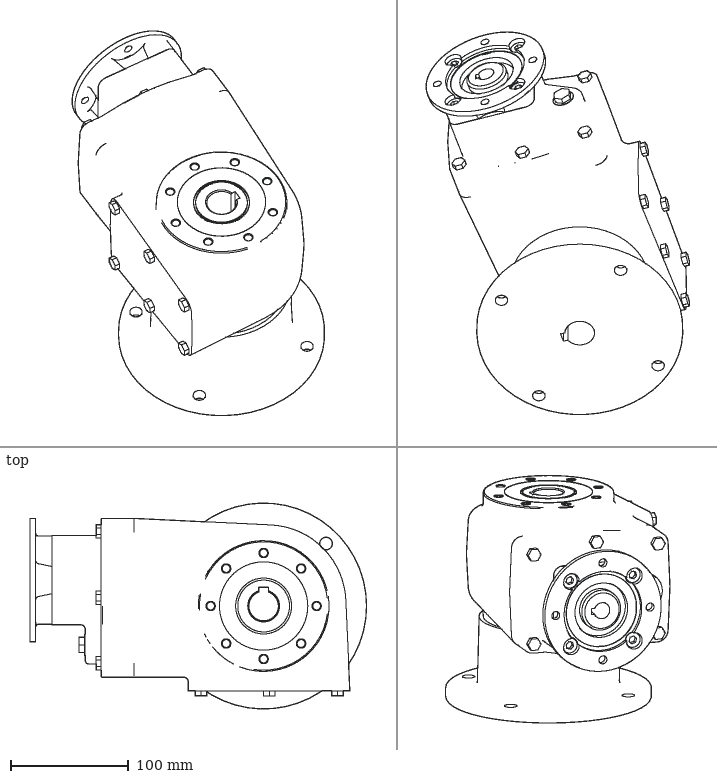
import cadquery as cq
import math


INPUT_Y = 22.0
LID_X = -138.0
TAPER_START_X = -110.0
HOUSING_HALF_HEIGHT = 48.0
HOUSING_SLOPE = 0.069
BACK_Y = 74.5
BACK_END_Y = 69.0
SIDE_Y = -60.5
COVER_Y = -72.0
COVER_LEFT_X = -64.0
END_X = 73.3
ROUND_END_X = 70.0
ROUND_CENTRE = 3.0
WALL_DRAFT = 2.5
EDGE_RADIUS = 10.0
LID_EDGE = 1.0
CONCAVE_RADIUS = 4.0
OVERRUN = 20.0

CROWN_HEIGHT = 54.3
CROWN_Y = 7.0
CROWN_HALF_WIDTH = 45.0
CROWN_ARC_HALF_WIDTH = 37.0
CROWN_SHOULDER = 1.6

BOSS_DIAMETER = 111.0
BOSS_TOP_Z = 55.0
BOSS_EDGE = 1.0
BOSS_BLEND = 6.0
SEAL_DIAMETER = 75.0
SEAL_STEP = 0.3
SLEEVE_RECESS_DIAMETER = 47.5
SLEEVE_RECESS_DEPTH = 1.5
SLEEVE_DIAMETER = 44.0
BORE_DIAMETER = 25.0
BORE_KEY_WIDTH = 8.0
BORE_KEY_REACH = 15.8
BORE_CHAMFER = 1.0
BOSS_HOLE_COUNT = 8
BOSS_HOLE_CIRCLE = 90.0
BOSS_HOLE_DIAMETER = 6.65
BOSS_HOLE_MOUTH = 8.0
BOSS_HOLE_DEPTH = 15.0
DRILL_POINT_ANGLE = 118.0

FLANGE_DIAMETER = 175.0
FLANGE_BOTTOM_Z = -126.0
FLANGE_TOP_Z = -115.5
FLANGE_EDGE = 2.0
PEDESTAL_TOP_Z = -54.3
PEDESTAL_TOP_DIAMETER = 118.0
PEDESTAL_BOTTOM_DIAMETER = 121.0
PEDESTAL_BLEND = 4.0
FLANGE_HOLE_CIRCLE = 150.0
FLANGE_HOLE_DIAMETER = 10.5

INPUT_X = -198.5
INPUT_FLANGE_DIAMETER = 105.0
INPUT_FLANGE_THICKNESS = 5.0
NECK_END_X = -179.5
NECK_SIZE = 75.0
NECK_BLEND = 2.5
BLOCK_SIZE = 76.0
BLOCK_CORNER = 9.0
BLOCK_ROOT_BLEND = 3.0
NECK_CORNER = 7.0
NECK_POCKET_AXIS = 52.0
NECK_POCKET_RADIUS = 20.4
NECK_POCKET_DRAFT = 7.7
INPUT_HOLE_CIRCLE = 85.0
INPUT_HOLE_DIAMETER = 7.0
SCREW_CIRCLE = 80.4
SCREW_BORE_DIAMETER = 14.0
SCREW_BORE_DEPTH = 12.0
SCREW_HEAD_DIAMETER = 13.0
SCREW_HEAD_HEIGHT = 8.0
SCREW_SOCKET = 7.0
SCREW_SOCKET_DEPTH = 4.0
REGISTER_DIAMETER = 70.0
REGISTER_DEPTH = 3.5
REGISTER_STEP_DIAMETER = 63.5
REGISTER_STEP_DEPTH = 4.2
SHAFT_RECESS_DIAMETER = 47.5
SHAFT_RECESS_DEPTH = 10.0
SHAFT_DIAMETER = 35.0
SHAFT_FACE_DEPTH = 2.5
SHAFT_CHAMFER = 2.0
SHAFT_BORE_DIAMETER = 14.0
SHAFT_BORE_DEPTH = 36.0
SHAFT_KEY_WIDTH = 5.0
SHAFT_KEY_REACH = 9.3

LUG_FACE_X = -151.5
PLUG_Y = -33.0
LUG_RADIUS = 16.3
LUG_FLANK_ANGLE = 31.0
LUG_EDGE = 3.0
LUG_BLEND = 4.0
PLUG_SIZE = 13.0
PLUG_TIP_X = -156.8
WASHER_DIAMETER = 18.0
WASHER_THICKNESS = 0.5

BOLT_SIZE = 10.0
BOLT_HEAD_HEIGHT = 4.2
COVER_BOLT_HEAD_HEIGHT = 4.4
COVER_BOLTS_XZ = [(-53.2, 37.0), (4.8, 33.0), (62.8, 29.0)]
LID_BOLTS_YZ = [(63.4, 39.2), (CROWN_Y, 45.4), (-48.6, 39.2)]


def flat_height(x):
    """Half height of the housing at x."""
    return HOUSING_HALF_HEIGHT - HOUSING_SLOPE * max(0.0, x - TAPER_START_X)


def plane_x(x, y=0.0):
    """Sketch plane facing -X: local x is -Y, local y is Z."""
    return cq.Workplane(cq.Plane(origin=(x, y, 0), xDir=(0, -1, 0), normal=(-1, 0, 0)))


def into_x(x, y=0.0):
    """Sketch plane facing +X: local x is Y, local y is Z."""
    return cq.Workplane(cq.Plane(origin=(x, y, 0), xDir=(0, 1, 0), normal=(1, 0, 0)))


def corner_diameter(across_flats):
    return across_flats / math.cos(math.pi / 6)


def raise_walls(outline):
    """Upper half solid on a closed XY outline, with walls that lean inwards going up."""
    return outline.close().extrude(BOSS_TOP_Z, taper=WALL_DRAFT)


def edges_in_x_plane(body, x, y_range=(-FLANGE_DIAMETER, FLANGE_DIAMETER), z_reach=FLANGE_DIAMETER):
    """Edges lying in the plane at x, within a Y range and a distance from Z = 0."""
    margin = 0.1
    low = (x - margin, y_range[0] - margin, -z_reach - margin)
    high = (x + margin, y_range[1] + margin, z_reach + margin)
    return body.edges(cq.selectors.BoxSelector(low, high, True))


def make_lid_end():
    """Upper half of the straight part of the housing, next to the input."""
    start_x = LID_X - OVERRUN
    end_x = TAPER_START_X + OVERRUN
    half = raise_walls(cq.Workplane("XY").polyline([
        (start_x, SIDE_Y),
        (end_x, SIDE_Y),
        (end_x, BACK_Y),
        (start_x, BACK_Y),
    ]))
    length = TAPER_START_X - LID_X
    slab = cq.Workplane("XY").box(length, FLANGE_DIAMETER, HOUSING_HALF_HEIGHT, centered=(False, True, False))
    half = half.intersect(slab.translate((LID_X, 0, 0)))
    return half.faces(">Z").edges("|X").fillet(EDGE_RADIUS)


def find_rims(half):
    """Edges between the sloping face and the walls, without those on the two flat ends."""
    sloping = half.faces(cq.selectors.NearestToPointSelector((0, 0, flat_height(0))))
    return [
        edge for edge in sloping.edges().vals()
        if edge.Center().x > TAPER_START_X + 1 and edge.Center().y > COVER_Y + 1
    ]


def make_gear_end():
    """Upper half of the tapering part of the housing, around the output and behind the side cover."""
    end_slope = (END_X - ROUND_END_X) / (ROUND_CENTRE - COVER_Y)
    back_slope = (BACK_Y - BACK_END_Y) / (ROUND_CENTRE - TAPER_START_X)
    corner_x = ROUND_END_X - end_slope * (BACK_END_Y - ROUND_CENTRE)
    corner_y = BACK_END_Y - back_slope * (corner_x - ROUND_CENTRE)
    far_y = COVER_Y - OVERRUN
    start_x = TAPER_START_X - OVERRUN
    outline = (
        cq.Workplane("XY")
        .moveTo(start_x, BACK_Y + back_slope * OVERRUN)
        .lineTo(corner_x, corner_y)
        .lineTo(END_X + end_slope * OVERRUN, far_y)
        .lineTo(COVER_LEFT_X, far_y)
        .lineTo(COVER_LEFT_X, SIDE_Y - CONCAVE_RADIUS)
        .radiusArc((COVER_LEFT_X - CONCAVE_RADIUS, SIDE_Y), -CONCAVE_RADIUS)
        .lineTo(start_x, SIDE_Y)
    )
    half = raise_walls(outline)
    round_corner = cq.selectors.NearestToPointSelector((corner_x, corner_y, BOSS_TOP_Z / 2))
    half = half.edges(round_corner).fillet(ROUND_END_X - ROUND_CENTRE)
    end_x = END_X + OVERRUN
    wedge = (
        cq.Workplane("XZ", origin=(0, COVER_Y, 0))
        .polyline([
            (TAPER_START_X, 0),
            (TAPER_START_X, HOUSING_HALF_HEIGHT),
            (end_x, flat_height(end_x)),
            (end_x, 0),
        ])
        .close()
        .extrude(-FLANGE_DIAMETER)
    )
    half = half.intersect(wedge)
    return half.newObject(find_rims(half)).fillet(EDGE_RADIUS)


def crown_section(x):
    flat = flat_height(x)
    shoulder = flat + CROWN_SHOULDER
    top = flat + CROWN_HEIGHT - HOUSING_HALF_HEIGHT
    return (
        into_x(x, CROWN_Y)
        .moveTo(-CROWN_HALF_WIDTH, 0)
        .lineTo(-CROWN_HALF_WIDTH, flat)
        .lineTo(-CROWN_ARC_HALF_WIDTH, shoulder)
        .threePointArc((0, top), (CROWN_ARC_HALF_WIDTH, shoulder))
        .lineTo(CROWN_HALF_WIDTH, flat)
        .lineTo(CROWN_HALF_WIDTH, 0)
        .close()
        .wire()
        .val()
    )


def make_crown():
    sections = [crown_section(x) for x in (LID_X, TAPER_START_X, 0.0)]
    return cq.Workplane(cq.Solid.makeLoft(sections, True))


def is_boss_root(edge):
    """True for the curves where the boss cylinder leaves the housing."""
    sample = edge.positionAt(0.37)
    on_cylinder = abs(math.hypot(sample.x, sample.y) - BOSS_DIAMETER / 2) < 0.05
    between_ends = 0 < edge.Center().z < BOSS_TOP_Z - BOSS_EDGE - 0.1
    return on_cylinder and between_ends and edge.geomType() != "LINE"


def make_main_body():
    """Housing with its crowned top and blended output boss, mirrored about Z = 0."""
    boss = cq.Workplane("XY").circle(BOSS_DIAMETER / 2).extrude(BOSS_TOP_Z)
    boss = boss.faces(">Z").edges().fillet(BOSS_EDGE)
    upper = make_lid_end().union(make_gear_end()).union(make_crown()).union(boss)
    root = [edge for edge in upper.edges().vals() if is_boss_root(edge)]
    upper = upper.newObject(root).fillet(BOSS_BLEND)
    body = upper.union(upper.mirror("XY"))
    return edges_in_x_plane(body, LID_X).fillet(LID_EDGE)


def make_pedestal():
    top = PEDESTAL_TOP_DIAMETER / 2
    bottom = PEDESTAL_BOTTOM_DIAMETER / 2
    rim = FLANGE_DIAMETER / 2
    pedestal = (
        cq.Workplane("XZ")
        .polyline([
            (0, FLANGE_BOTTOM_Z),
            (rim, FLANGE_BOTTOM_Z),
            (rim, FLANGE_TOP_Z),
            (bottom, FLANGE_TOP_Z),
            (top, PEDESTAL_TOP_Z),
            (0, PEDESTAL_TOP_Z),
        ])
        .close()
        .revolve(360, (0, 0, 0), (0, 1, 0))
    )
    circles = pedestal.edges("%CIRCLE")
    rims = circles.edges(cq.selectors.RadiusNthSelector(-1))
    foot = circles.edges(cq.selectors.RadiusNthSelector(-2))
    pedestal = rims.fillet(FLANGE_EDGE)
    pedestal = pedestal.newObject(foot.vals()).fillet(PEDESTAL_BLEND)
    holes = (
        cq.Workplane("XY")
        .workplane(offset=FLANGE_BOTTOM_Z)
        .polarArray(FLANGE_HOLE_CIRCLE / 2, 45, 360, 4)
        .circle(FLANGE_HOLE_DIAMETER / 2)
        .extrude(FLANGE_TOP_Z - FLANGE_BOTTOM_Z)
    )
    return pedestal.cut(holes)


def cut_output_face(body):
    face = cq.Workplane("XY").workplane(offset=BOSS_TOP_Z)
    body = body.cut(face.circle(SEAL_DIAMETER / 2).extrude(-SEAL_STEP))
    ring = face.circle(SLEEVE_RECESS_DIAMETER / 2).circle(SLEEVE_DIAMETER / 2)
    body = body.cut(ring.extrude(-SLEEVE_RECESS_DEPTH))
    holes = face.polarArray(BOSS_HOLE_CIRCLE / 2, 0, 360, BOSS_HOLE_COUNT)
    body = body.cut(holes.circle(BOSS_HOLE_DIAMETER / 2).extrude(-BOSS_HOLE_DEPTH))
    point_height = BOSS_HOLE_DIAMETER / 2 / math.tan(math.radians(DRILL_POINT_ANGLE / 2))
    tip = cq.Solid.makeCone(
        BOSS_HOLE_DIAMETER / 2, 0, point_height, cq.Vector(0, 0, -BOSS_HOLE_DEPTH), cq.Vector(0, 0, -1)
    )
    body = body.cut(holes.eachpoint(tip, combine=False))
    lead_in = (BOSS_HOLE_MOUTH - BOSS_HOLE_DIAMETER) / 2
    sinks = holes.circle(BOSS_HOLE_MOUTH / 2).extrude(-lead_in, taper=45)
    return body.cut(sinks)


def cut_output_bore(body):
    depth = BOSS_TOP_Z - FLANGE_BOTTOM_Z
    base = cq.Workplane("XY").workplane(offset=FLANGE_BOTTOM_Z)
    bore = base.circle(BORE_DIAMETER / 2).extrude(depth)
    key = base.center(0, BORE_KEY_REACH / 2).rect(BORE_KEY_WIDTH, BORE_KEY_REACH).extrude(depth)
    mouth = (
        cq.Workplane("XY")
        .workplane(offset=BOSS_TOP_Z - SEAL_STEP)
        .circle(BORE_DIAMETER / 2 + BORE_CHAMFER)
        .extrude(-BORE_CHAMFER, taper=45)
    )
    return body.cut(bore).cut(key).cut(mouth)


def make_lug():
    angle = math.radians(LUG_FLANK_ANGLE)
    tangent_y = PLUG_Y - LUG_RADIUS * math.sin(angle)
    tangent_z = LUG_RADIUS * math.cos(angle)
    root_y = INPUT_Y - BLOCK_SIZE / 2
    root_z = tangent_z + (root_y - tangent_y) * math.tan(angle)
    lug = (
        into_x(LUG_FACE_X)
        .moveTo(root_y, root_z)
        .lineTo(tangent_y, tangent_z)
        .threePointArc((PLUG_Y - LUG_RADIUS, 0), (tangent_y, -tangent_z))
        .lineTo(root_y, -root_z)
        .close()
        .extrude(LID_X - LUG_FACE_X)
    )
    return lug.faces("<X").edges("not |Z").fillet(LUG_EDGE)


def make_input_block():
    block = (
        into_x(NECK_END_X, INPUT_Y).rect(BLOCK_SIZE, BLOCK_SIZE).extrude(LID_X - NECK_END_X)
        .edges("|X").fillet(BLOCK_CORNER)
        .union(make_lug())
    )
    block_side = INPUT_Y - BLOCK_SIZE / 2
    lug_joint = edges_in_x_plane(block, LUG_FACE_X, (block_side, block_side))
    block = lug_joint.fillet(LUG_BLEND)
    neck_x = INPUT_X + INPUT_FLANGE_THICKNESS
    neck = (
        into_x(neck_x, INPUT_Y).rect(NECK_SIZE, NECK_SIZE).extrude(NECK_END_X - neck_x)
        .edges("|X").fillet(NECK_CORNER)
    )
    pockets = (
        into_x(neck_x, INPUT_Y).polarArray(NECK_POCKET_AXIS, 0, 360, 4)
        .circle(NECK_POCKET_RADIUS).extrude(NECK_END_X - neck_x, taper=NECK_POCKET_DRAFT)
    )
    flange = into_x(INPUT_X, INPUT_Y).circle(INPUT_FLANGE_DIAMETER / 2).extrude(INPUT_FLANGE_THICKNESS)
    neck = flange.union(neck.cut(pockets))
    neck = edges_in_x_plane(neck, neck_x).edges("not %CIRCLE").fillet(NECK_BLEND)
    return block.union(neck)


def join_input(body):
    """Add the input block to the lid and blend its root."""
    body = body.union(make_input_block())
    y_range = (PLUG_Y - LUG_RADIUS, INPUT_Y + BLOCK_SIZE / 2)
    return edges_in_x_plane(body, LID_X, y_range, BLOCK_SIZE / 2).fillet(BLOCK_ROOT_BLEND)


def make_plug():
    washer_x = LUG_FACE_X - WASHER_THICKNESS
    washer = plane_x(LUG_FACE_X, PLUG_Y).circle(WASHER_DIAMETER / 2).extrude(WASHER_THICKNESS)
    head = (
        plane_x(washer_x, PLUG_Y).transformed(rotate=(0, 0, 90))
        .polygon(6, corner_diameter(PLUG_SIZE)).extrude(washer_x - PLUG_TIP_X)
    )
    return washer.union(head)


def cut_input_face(body):
    face = into_x(INPUT_X, INPUT_Y)
    body = body.cut(face.circle(REGISTER_DIAMETER / 2).extrude(REGISTER_DEPTH))
    body = body.cut(face.circle(REGISTER_STEP_DIAMETER / 2).extrude(REGISTER_STEP_DEPTH))
    body = body.cut(face.circle(SHAFT_RECESS_DIAMETER / 2).extrude(SHAFT_RECESS_DEPTH))
    holes = face.polarArray(INPUT_HOLE_CIRCLE / 2, 0, 360, 4).circle(INPUT_HOLE_DIAMETER / 2)
    body = body.cut(holes.extrude(INPUT_FLANGE_THICKNESS))
    screw_bores = face.polarArray(SCREW_CIRCLE / 2, 45, 360, 4).circle(SCREW_BORE_DIAMETER / 2)
    return body.cut(screw_bores.extrude(SCREW_BORE_DEPTH))


def make_screw_heads():
    bottom_x = INPUT_X + SCREW_BORE_DEPTH
    seats = plane_x(bottom_x, INPUT_Y).polarArray(SCREW_CIRCLE / 2, 45, 360, 4)
    heads = seats.circle(SCREW_HEAD_DIAMETER / 2).extrude(SCREW_HEAD_HEIGHT)
    tops = plane_x(bottom_x - SCREW_HEAD_HEIGHT, INPUT_Y).polarArray(SCREW_CIRCLE / 2, 45, 360, 4)
    return heads.cut(tops.polygon(6, SCREW_SOCKET).extrude(-SCREW_SOCKET_DEPTH))


def make_input_shaft():
    face_x = INPUT_X + SHAFT_FACE_DEPTH
    length = SHAFT_RECESS_DEPTH - SHAFT_FACE_DEPTH
    return (
        into_x(face_x, INPUT_Y).circle(SHAFT_DIAMETER / 2).extrude(length)
        .faces("<X").chamfer(SHAFT_CHAMFER)
    )


def cut_shaft_bore(body):
    face = into_x(INPUT_X, INPUT_Y)
    bore = face.circle(SHAFT_BORE_DIAMETER / 2).extrude(SHAFT_BORE_DEPTH)
    key = face.center(SHAFT_KEY_REACH / 2, 0).rect(SHAFT_KEY_REACH, SHAFT_KEY_WIDTH).extrude(SHAFT_BORE_DEPTH)
    return body.cut(bore).cut(key)


def make_bolts():
    diameter = corner_diameter(BOLT_SIZE)
    bolts = cq.Workplane("XY")
    for side in (1, -1):
        for x, z in COVER_BOLTS_XZ:
            seat = cq.Workplane("XZ", origin=(x, COVER_Y, side * z)).transformed(rotate=(0, 0, 90))
            bolts = bolts.add(seat.polygon(6, diameter).extrude(COVER_BOLT_HEAD_HEIGHT))
        for y, z in LID_BOLTS_YZ:
            seat = plane_x(LID_X, y).center(0, side * z)
            bolts = bolts.add(seat.polygon(6, diameter).extrude(BOLT_HEAD_HEIGHT))
    return bolts


body = make_main_body()
body = body.union(make_pedestal())
body = cut_output_face(body)
body = cut_output_bore(body)
body = join_input(body)
body = cut_input_face(body)
body = body.union(make_input_shaft()).union(make_screw_heads())
body = cut_shaft_bore(body)
body = body.union(make_plug())
for bolt in make_bolts().vals():
    body = body.union(cq.Workplane(bolt))
result = body